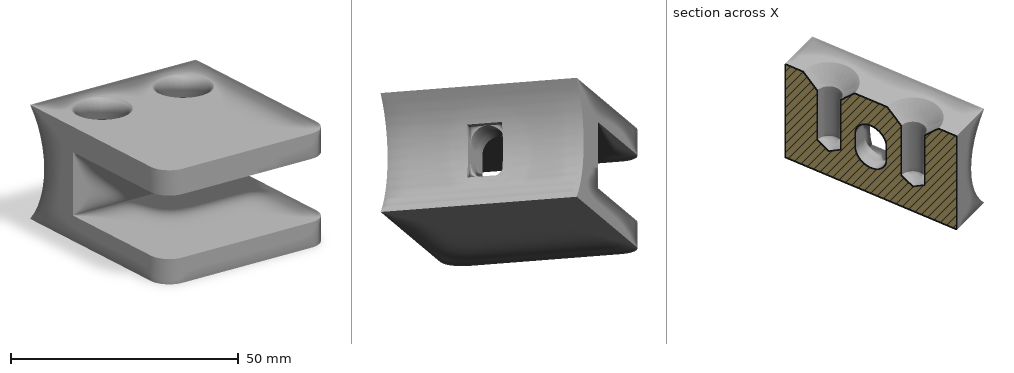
import cadquery as cq
import math

length = 50.0
width = 45.0
height = 27.0
corner_radius = 5.0

tube_radius = 20.0
tube_axis_x = -math.sqrt(tube_radius**2 - (height / 2) ** 2)

jaw_thickness = 6.0
gap_start_x = 16.0
gap_height = height - 2 * jaw_thickness

slot_width = 8.0
slot_height = 12.0
mouth_depth = 2.0

screw_x = 11.0
screw_spacing = 22.0
screw_diameter = 6.0
countersink_diameter = 13.5
countersink_angle = 90.0
screw_depth = 18.0
drill_tip_angle = 118.0


def make_body():
    block = cq.Workplane("XY").box(length, width, height, centered=(False, True, True))
    return block.edges("|Z and >X").fillet(corner_radius)


def make_tube():
    return (
        cq.Workplane("XZ")
        .center(tube_axis_x, 0)
        .circle(tube_radius)
        .extrude(width / 2, both=True)
    )


def make_gap():
    gap = cq.Workplane("XY").box(length, width, gap_height, centered=(False, True, True))
    return gap.translate((gap_start_x, 0, 0))


def make_fastening_slot():
    mouth = cq.Workplane("YZ").rect(slot_width, slot_height).extrude(gap_start_x)
    mouth = mouth.intersect(make_tube().translate((mouth_depth, 0, 0)))
    passage = cq.Workplane("YZ").slot2D(slot_height, slot_width, 90).extrude(gap_start_x)
    return mouth.union(passage)


def make_screw_hole(y):
    """Countersink, straight bore and conical drill tip, revolved about the hole axis."""
    bore_radius = screw_diameter / 2
    sink_radius = countersink_diameter / 2
    sink_depth = (sink_radius - bore_radius) / math.tan(math.radians(countersink_angle / 2))
    tip_depth = bore_radius / math.tan(math.radians(drill_tip_angle / 2))
    profile = (
        cq.Workplane("XZ")
        .lineTo(sink_radius, 0)
        .lineTo(bore_radius, -sink_depth)
        .lineTo(bore_radius, -screw_depth)
        .lineTo(0, -screw_depth - tip_depth)
        .close()
    )
    hole = profile.revolve(360, (0, 0, 0), (0, 1, 0))
    return hole.translate((screw_x, y, height / 2))


result = make_body().cut(make_tube()).cut(make_gap()).cut(make_fastening_slot())
for side in (-1, 1):
    result = result.cut(make_screw_hole(side * screw_spacing / 2))